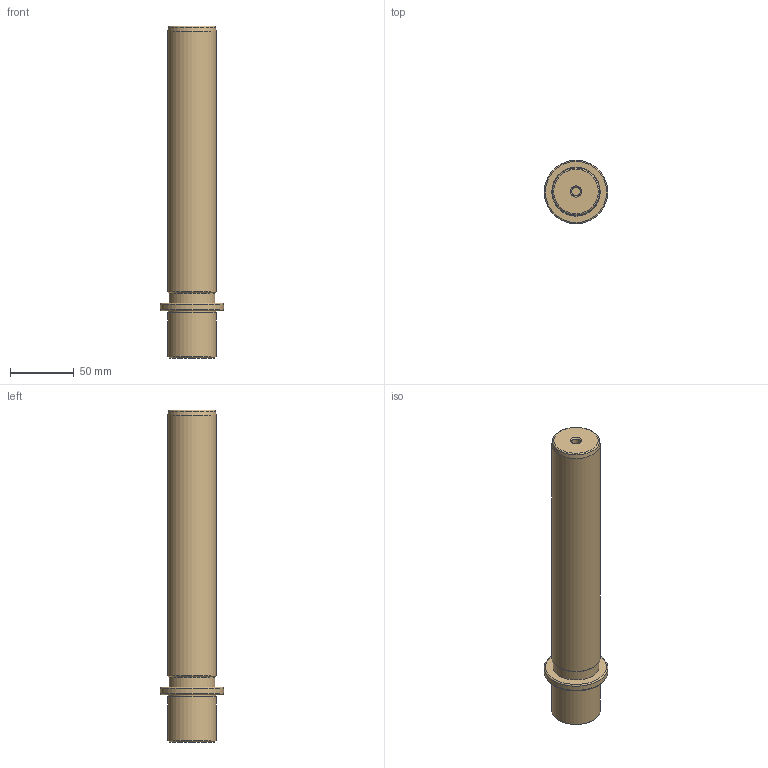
import cadquery as cq

total_length = 261.0

body_diameter = 38.0
neck_diameter = 36.0
relief_diameter = 37.0
flange_diameter = 50.0
lead_tip_diameter = 36.8

flange_bottom = 37.0
flange_thickness = 6.0
neck_length = 8.0
relief_length = 1.5
lead_length = 4.0

flange_fillet = 1.0
tip_fillet = 1.0
bottom_chamfer = 1.0
neck_chamfer = (body_diameter - neck_diameter) / 2

bore_diameter = 6.8
bore_mouth_diameter = 9.0
bore_depth = 20.0


def revolve_about_z(half_section):
    """Turn a closed half section of (radius, height) points about the Z axis."""
    return cq.Workplane("XZ").polyline(half_section).close().revolve(360, (0, 0), (0, 1))


def turned_pin():
    """Stepped pin: shank, relief groove, flange, neck, long body and tapered lead-in."""
    body_radius = body_diameter / 2
    neck_radius = neck_diameter / 2
    relief_radius = relief_diameter / 2
    flange_radius = flange_diameter / 2
    relief_bottom = flange_bottom - relief_length
    flange_top = flange_bottom + flange_thickness
    neck_top = flange_top + neck_length

    return revolve_about_z([
        (0, 0),
        (body_radius - bottom_chamfer, 0),
        (body_radius, bottom_chamfer),
        (body_radius, relief_bottom),
        (relief_radius, relief_bottom),
        (relief_radius, flange_bottom),
        (flange_radius, flange_bottom),
        (flange_radius, flange_top),
        (neck_radius, flange_top),
        (neck_radius, neck_top),
        (body_radius, neck_top + neck_chamfer),
        (body_radius, total_length - lead_length),
        (lead_tip_diameter / 2, total_length),
        (0, total_length),
    ])


def round_edges(pin):
    """Round both rims of the flange and the rim of the top face."""
    largest_circles = cq.selectors.RadiusNthSelector(-1)
    pin = pin.edges(largest_circles).fillet(flange_fillet)
    return pin.faces(">Z").edges().fillet(tip_fillet)


def bore():
    """Blind bore with a 45 degree countersunk mouth, opening at the top face."""
    bore_radius = bore_diameter / 2
    mouth_radius = bore_mouth_diameter / 2
    mouth_depth = mouth_radius - bore_radius
    bore_bottom = total_length - bore_depth

    return revolve_about_z([
        (0, total_length),
        (mouth_radius, total_length),
        (bore_radius, total_length - mouth_depth),
        (bore_radius, bore_bottom),
        (0, bore_bottom),
    ])


result = round_edges(turned_pin()).cut(bore())